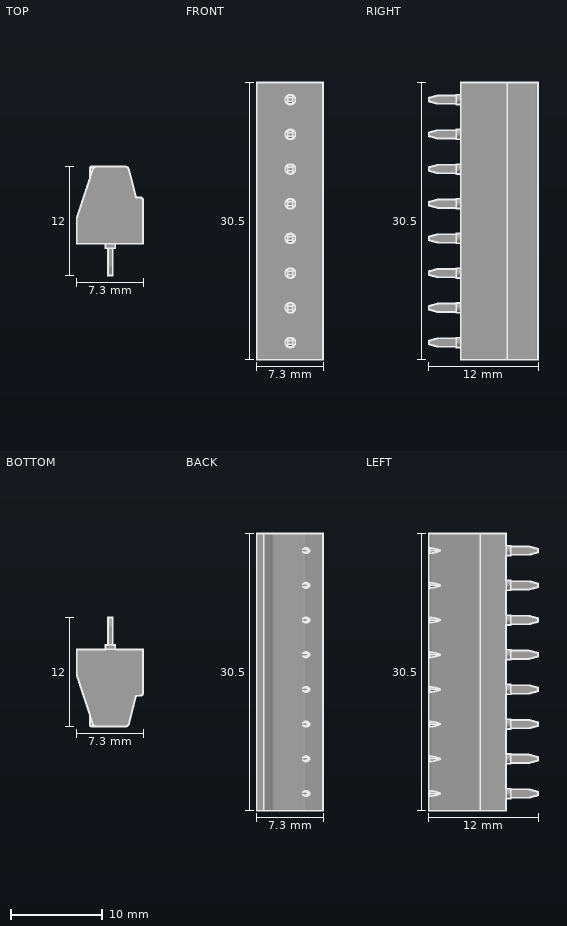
import cadquery as cq
import math

contact_count = 8
pitch = 3.81
body_length = contact_count * pitch

body_width = 7.3
body_depth = 8.5
left_wall_depth = 2.83
left_slope_angle = math.radians(18.3)
step_depth = 5.1
step_width = 0.77
right_slope_angle = math.radians(14.2)
crest_radius = 0.5
step_radius = 0.3

pin_offset = 0.05
pin_x = body_width / 2 + pin_offset
pin_reach = 3.5
pin_width = 0.55
pin_height = 0.95
pin_tip_height = 0.4
pin_taper_length = 1.0
collar_diameter = 1.1
collar_length = 0.5

key_ridge_x = 1.45
key_width = 1.1
key_height = 0.64
key_length = 1.6
key_chamfer = 0.12


def make_body():
    left_crest_x = (body_depth - left_wall_depth) * math.tan(left_slope_angle)
    step_x = body_width - step_width
    right_crest_x = step_x - (body_depth - step_depth) * math.tan(right_slope_angle)
    body = (
        cq.Workplane("XY")
        .moveTo(0, 0)
        .lineTo(body_width, 0)
        .lineTo(body_width, step_depth)
        .lineTo(step_x, step_depth)
        .lineTo(right_crest_x, body_depth)
        .lineTo(left_crest_x, body_depth)
        .lineTo(0, left_wall_depth)
        .close()
        .extrude(body_length)
    )
    body = body.faces(">Y").edges("|Z").fillet(crest_radius)
    return body.faces(">X").edges("|Z and >Y").fillet(step_radius)


def make_pin(z):
    collar = (
        cq.Workplane("XZ", origin=(pin_x, 0, z))
        .circle(collar_diameter / 2)
        .extrude(collar_length)
    )
    half_height = pin_height / 2
    half_tip = pin_tip_height / 2
    taper_start = pin_taper_length - pin_reach
    blade = (
        cq.Workplane("YZ", origin=(pin_x, 0, z))
        .moveTo(0, half_height)
        .lineTo(taper_start, half_height)
        .lineTo(-pin_reach, half_tip)
        .lineTo(-pin_reach, -half_tip)
        .lineTo(taper_start, -half_height)
        .lineTo(0, -half_height)
        .close()
        .extrude(pin_width / 2, both=True)
    )
    return collar.union(blade)


def make_key(z):
    half_height = key_height / 2
    middle_x = key_width / 2
    return (
        cq.Workplane("XZ", origin=(key_ridge_x, body_depth, z))
        .moveTo(0, 0)
        .threePointArc((middle_x, half_height), (key_width, 0))
        .threePointArc((middle_x, -half_height), (0, 0))
        .close()
        .extrude(key_length)
        .faces(">Y")
        .edges()
        .chamfer(key_chamfer)
    )


result = make_body()
for index in range(contact_count):
    contact_z = (index + 0.5) * pitch
    result = result.union(make_pin(contact_z)).union(make_key(contact_z))